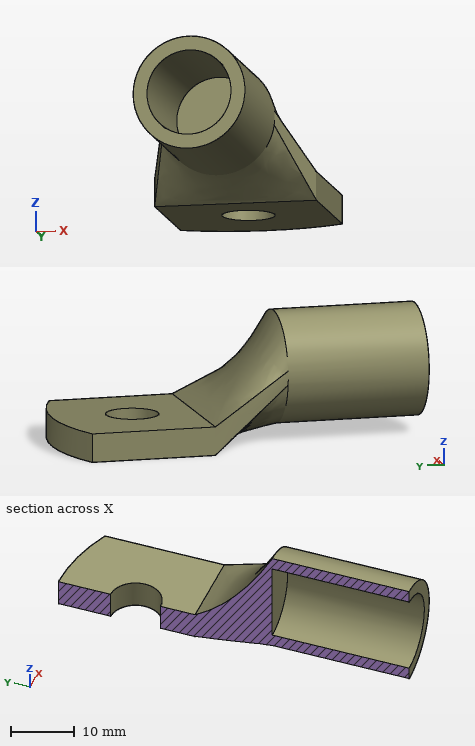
import cadquery as cq
import math

total_length = 59.0
barrel_length = 23.0
neck_length = 13.0
barrel_diameter = 18.0
bore_diameter = 13.5
barrel_lift = 2.0

side_top_angle = 6.4
side_bottom_angle = -8.0
straightness = 0.0003481
saddle_height = 10.2

palm_width = 26.0
palm_thickness = 4.6
tip_rise = 2.95
hole_diameter = 8.4
hole_from_tip = 13.0

neck_end = barrel_length + neck_length
barrel_radius = barrel_diameter / 2
axis_height = barrel_lift + barrel_radius
half_width = palm_width / 2


def plane_at(y, z):
    """Plane facing +Y, with its local axes along X and Z."""
    return cq.Plane(origin=(0, y, z), xDir=(-1, 0, 0), normal=(0, 1, 0))


def make_barrel():
    return cq.Workplane(plane_at(0, axis_height)).circle(barrel_radius).extrude(barrel_length)


def rim_point(angle):
    """X and Z on the barrel's outer circle, with the angle measured from +X towards +Z."""
    turn = math.radians(angle)
    return (barrel_radius * math.cos(turn), axis_height + barrel_radius * math.sin(turn))


def midpoint(first, second):
    return ((first[0] + second[0]) / 2, (first[1] + second[1]) / 2)


def bowed_edge(start, middle, end):
    """Arc through three points, or a straight edge where they are in line."""
    if (middle - start).cross(end - start).Length < straightness:
        return cq.Edge.makeLine(start, end)
    return cq.Edge.makeThreePointArc(start, middle, end)


def neck_section(y, upper, side, lower, top_height, bottom_height):
    """Closed symmetric wire at y, from the X and Z of its +X side and its crown heights."""
    def right(point):
        return cq.Vector(point[0], y, point[1])

    def left(point):
        return cq.Vector(-point[0], y, point[1])

    top = cq.Vector(0, y, top_height)
    bottom = cq.Vector(0, y, bottom_height)
    return cq.Wire.assembleEdges([
        bowed_edge(right(upper), top, left(upper)),
        bowed_edge(left(upper), left(side), left(lower)),
        bowed_edge(left(lower), bottom, right(lower)),
        bowed_edge(right(lower), right(side), right(upper)),
    ])


def make_neck():
    """Loft from the round barrel to the flat palm, with straight flanks and a sagging top."""
    rim_upper = rim_point(side_top_angle)
    rim_lower = rim_point(side_bottom_angle)
    rim_side = rim_point((side_top_angle + side_bottom_angle) / 2)
    palm_upper = (half_width, palm_thickness)
    palm_lower = (half_width, 0)
    waist_upper = midpoint(rim_upper, palm_upper)
    waist_lower = midpoint(rim_lower, palm_lower)

    rim = neck_section(
        barrel_length, rim_upper, rim_side, rim_lower, axis_height + barrel_radius, barrel_lift
    )
    waist = neck_section(
        barrel_length + neck_length / 2,
        waist_upper,
        midpoint(waist_upper, waist_lower),
        waist_lower,
        saddle_height,
        barrel_lift / 2,
    )
    palm_end = neck_section(
        neck_end, palm_upper, midpoint(palm_upper, palm_lower), palm_lower, palm_thickness, 0
    )
    return cq.Workplane(cq.Solid.makeLoft([rim, waist, palm_end]))


def make_palm():
    shoulder = total_length - tip_rise
    return (
        cq.Workplane("XY")
        .moveTo(-half_width, neck_end)
        .lineTo(half_width, neck_end)
        .lineTo(half_width, shoulder)
        .threePointArc((0, total_length), (-half_width, shoulder))
        .close()
        .extrude(palm_thickness)
    )


bore = cq.Workplane(plane_at(0, axis_height)).circle(bore_diameter / 2).extrude(barrel_length)
bolt_hole = (
    cq.Workplane("XY")
    .center(0, total_length - hole_from_tip)
    .circle(hole_diameter / 2)
    .extrude(palm_thickness)
)

result = make_barrel().union(make_neck()).union(make_palm()).cut(bore).cut(bolt_hole)